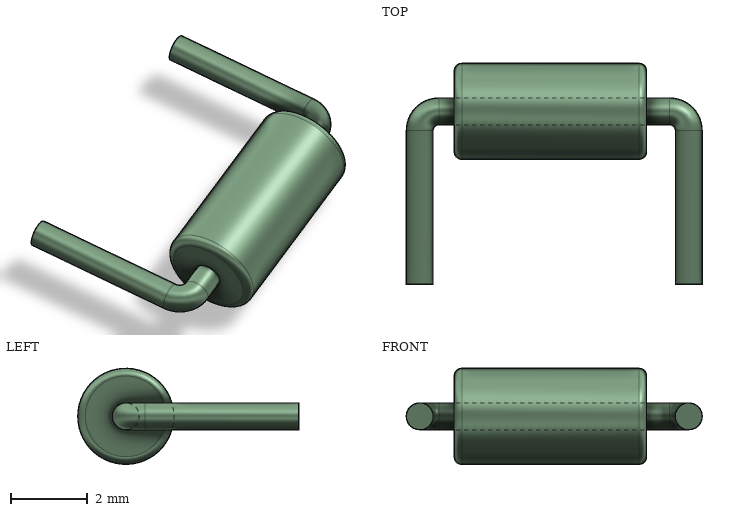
import cadquery as cq

OVERALL_WIDTH = 7.7
OVERALL_DEPTH = 5.75

CASE_LENGTH = 5.005
CASE_DIAMETER = 2.5
CASE_EDGE_RADIUS = 0.2
CASE_OFFSET = -0.1

WIRE_DIAMETER = 0.7
BEND_RADIUS = 0.5

LEG_X = (OVERALL_WIDTH - WIRE_DIAMETER) / 2
LEG_TIP_Y = CASE_DIAMETER / 2 - OVERALL_DEPTH
CASE_START_X = CASE_OFFSET - CASE_LENGTH / 2


def make_lead_wire():
    """One continuous wire through the case, bent down into a leg at each end."""
    straight_end_x = LEG_X - BEND_RADIUS
    centreline = (
        cq.Workplane("XY")
        .moveTo(-LEG_X, LEG_TIP_Y)
        .lineTo(-LEG_X, -BEND_RADIUS)
        .radiusArc((-straight_end_x, 0), BEND_RADIUS)
        .lineTo(straight_end_x, 0)
        .radiusArc((LEG_X, -BEND_RADIUS), BEND_RADIUS)
        .lineTo(LEG_X, LEG_TIP_Y)
    )
    leg_tip = cq.Workplane("XZ", origin=(-LEG_X, LEG_TIP_Y, 0))
    return leg_tip.circle(WIRE_DIAMETER / 2).sweep(centreline)


def make_case():
    """Cylindrical case with rounded end edges and a bore that fits the wire."""
    case_end = cq.Workplane("YZ", origin=(CASE_START_X, 0, 0))
    cylinder = case_end.circle(CASE_DIAMETER / 2).extrude(CASE_LENGTH)
    rounded = cylinder.edges("%CIRCLE").fillet(CASE_EDGE_RADIUS)
    wire_bore = case_end.circle(WIRE_DIAMETER / 2).extrude(CASE_LENGTH)
    return rounded.cut(wire_bore)


lead_wire = make_lead_wire()
case = make_case()

result = cq.Compound.makeCompound([case.val(), lead_wire.val()])